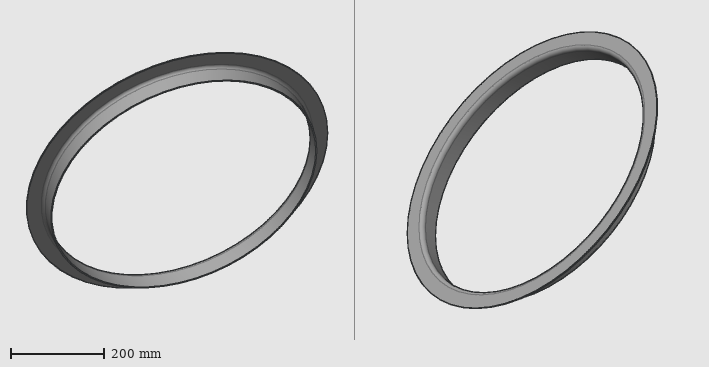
import cadquery as cq

tube_outer_diameter = 606.0
wall = 3.0
flange_diameter = 685.0
length = 45.0
inner_bend_radius = 7.0

tube_outer_radius = tube_outer_diameter / 2
tube_inner_radius = tube_outer_radius - wall
flange_radius = flange_diameter / 2
outer_bend_radius = inner_bend_radius + wall
bend_centre_radius = tube_inner_radius + outer_bend_radius
diagonal = 0.5 ** 0.5


def bend_midpoint(bend_radius):
    """Middle of a quarter bend, as (axial, radial) coordinates."""
    offset = bend_radius * diagonal
    return outer_bend_radius - offset, bend_centre_radius - offset


def flanged_collar():
    """Sheet profile, flange bent over into a tube, revolved about the X axis."""
    profile = (
        cq.Workplane("XY")
        .moveTo(0, flange_radius)
        .lineTo(0, bend_centre_radius)
        .threePointArc(bend_midpoint(outer_bend_radius), (outer_bend_radius, tube_inner_radius))
        .lineTo(length, tube_inner_radius)
        .lineTo(length, tube_outer_radius)
        .lineTo(outer_bend_radius, tube_outer_radius)
        .threePointArc(bend_midpoint(inner_bend_radius), (wall, bend_centre_radius))
        .lineTo(wall, flange_radius)
        .close()
    )
    return profile.revolve(360, (0, 0, 0), (1, 0, 0))


result = flanged_collar()